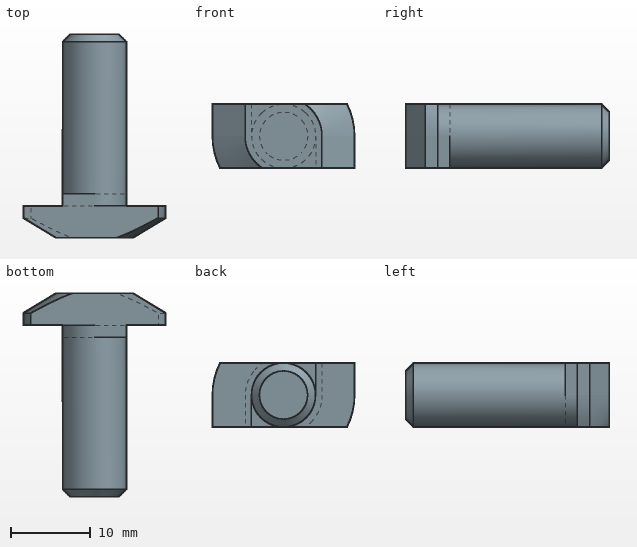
import cadquery as cq

length = 25.5
shank_diameter = 8.0
end_chamfer = 1.0
head_width = 17.8
head_height = 4.0
rim_height = 1.5
face_width = 9.61
neck_height = 1.5

shank_radius = shank_diameter / 2
half_width = head_width / 2
half_face = face_width / 2


def head_half_profile(side):
    """Tapered head section from the axis out to side (+1 for +X, -1 for -X)."""
    return cq.Workplane("XY").polyline([
        (0, 0),
        (side * half_face, 0),
        (side * half_width, head_height - rim_height),
        (side * half_width, head_height),
        (0, head_height),
    ]).close()


def upper_half():
    """Head and neck above the axis: square corner at -X, rounded corner at +X."""
    square_corner = head_half_profile(-1).extrude(shank_radius)
    disc = head_half_profile(1).revolve(360, (0, 0, 0), (0, 1, 0))
    quadrant = cq.Workplane("XY").box(
        half_width, head_height, shank_radius, centered=False
    )
    neck = cq.Workplane("XY").box(
        shank_radius, neck_height, shank_radius, centered=False
    ).translate((-shank_radius, head_height, 0))
    return square_corner.union(disc.intersect(quadrant)).union(neck)


def shank():
    """Plain round shank with a chamfered free end."""
    return (
        cq.Workplane("XZ")
        .circle(shank_radius)
        .extrude(-(length - head_height))
        .translate((0, head_height, 0))
        .faces(">Y")
        .chamfer(end_chamfer)
    )


upper = upper_half()
lower = upper.rotate((0, 0, 0), (0, 1, 0), 180)
result = upper.union(lower).union(shank())